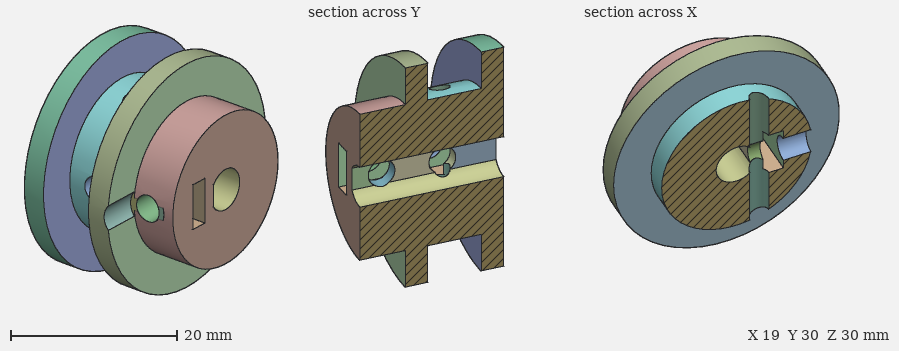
import cadquery as cq
import math

flange_diameter = 30.0
hub_diameter = 20.0
total_length = 19.0
flange_thickness = 3.0
second_flange_start = 10.0

bore_diameter = 5.4
bore_flat_distance = 2.25

slot_inner_distance = 3.9
slot_width = 2.28
slot_height = 6.0

screw_hole_diameter = 3.5
groove_screw_x = 7.08
end_screw_x = 15.1
recess_diameter = 5.2
recess_x = 15.0
recess_flat_half_width = 0.85

cord_hole_diameter = 2.5
cord_hole_y = -3.0

flange_radius = flange_diameter / 2
hub_radius = hub_diameter / 2
recess_floor_distance = math.sqrt(hub_radius**2 - recess_flat_half_width**2)


def disc(start_x, length, diameter):
    """Cylinder along X."""
    return cq.Workplane("YZ", origin=(start_x, 0, 0)).circle(diameter / 2).extrude(length)


def radial_cylinder(x, diameter, inner_distance):
    """Cylinder running toward -Y from inner_distance to the flange rim."""
    start = (x, -inner_distance, 0)
    return cq.Workplane("XZ", origin=start).circle(diameter / 2).extrude(flange_radius - inner_distance)


def through_block(near_y, width, height):
    """Full-length block running toward -Y from near_y."""
    block = cq.Workplane("XY").box(total_length, width, height)
    return block.translate((total_length / 2, near_y - width / 2, 0))


body = disc(0, total_length, hub_diameter)
for flange_start in (0, second_flange_start):
    body = body.union(disc(flange_start, flange_thickness, flange_diameter))

outside_flat = through_block(-bore_flat_distance, bore_diameter, bore_diameter)
d_bore = disc(0, total_length, bore_diameter).cut(outside_flat)
nut_slot = through_block(-slot_inner_distance, slot_width, slot_height)
body = body.cut(d_bore).cut(nut_slot)

for screw_x in (groove_screw_x, end_screw_x):
    body = body.cut(radial_cylinder(screw_x, screw_hole_diameter, 0))

body = body.cut(radial_cylinder(recess_x, recess_diameter, recess_floor_distance))

cord_hole = (
    cq.Workplane("XY", origin=(groove_screw_x, cord_hole_y, -flange_radius))
    .circle(cord_hole_diameter / 2)
    .extrude(flange_diameter)
)
result = body.cut(cord_hole)